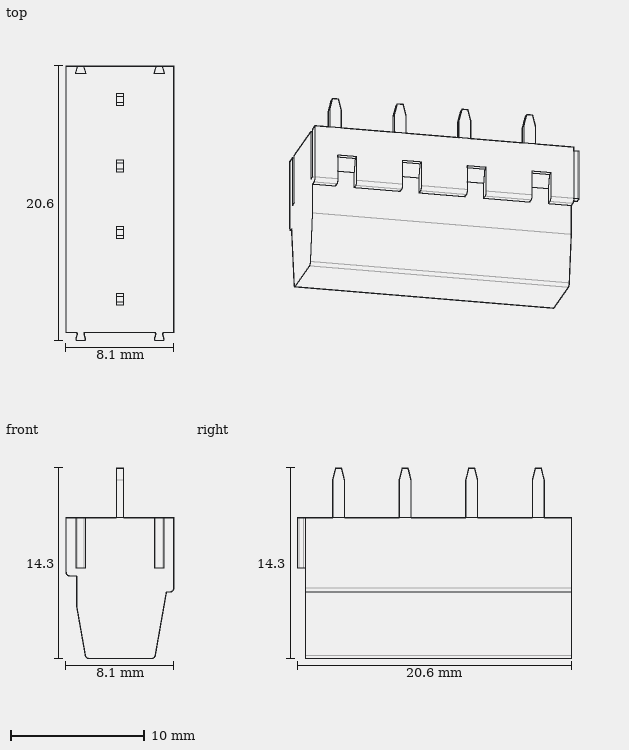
import cadquery as cq
import math

pole_count = 4
pitch = 5.0
body_width = 8.1
body_length = pole_count * pitch
body_height = 10.6
half_width = body_width / 2
half_length = body_length / 2

left_step_z = 6.2
left_step_depth = 0.8
left_taper_z = 3.9
right_step_z = 5.0
right_step_depth = 0.55
taper_angle = math.radians(10)
edge_radius = 0.3

pin_thickness = 0.55
pin_width = 0.9
pin_tip_width = 0.45
pin_tip_length = 0.9
overall_height = 14.31

notch_width = 1.45
notch_top_z = 8.4
notch_slope_height = 1.0
notch_slope_depth = 0.36

dovetail_offset = 2.95
dovetail_neck_width = 0.46
dovetail_wide_width = 0.8
rail_depth = 0.6
groove_depth = 0.56
dovetail_height = 3.8
rail_corner_radius = 0.1
rail_root_radius = 0.1

tolerance = 0.001

pole_positions = [(i - (pole_count - 1) / 2) * pitch for i in range(pole_count)]
wall_x = left_step_depth - half_width


def make_body():
    """Constant-section housing, extruded along Y."""
    right_wall_x = half_width - right_step_depth
    left_base_x = wall_x + left_taper_z * math.tan(taper_angle)
    right_base_x = right_wall_x - right_step_z * math.tan(taper_angle)
    profile = [
        (-half_width, body_height),
        (-half_width, left_step_z),
        (wall_x, left_step_z),
        (wall_x, left_taper_z),
        (left_base_x, 0),
        (right_base_x, 0),
        (right_wall_x, right_step_z),
        (half_width, right_step_z),
        (half_width, body_height),
    ]
    body = cq.Workplane("XZ").polyline(profile).close().extrude(half_length, both=True)
    bottom_edges = body.faces("<Z").edges("|Y")
    step_edges = body.faces("<X or >X").edges("|Y")
    step_edges = step_edges.filter(lambda edge: edge.Center().z < body_height - tolerance)
    return body.newObject(bottom_edges.vals() + step_edges.vals()).fillet(edge_radius)


def make_notch(y):
    """Cutter for one notch, reaching back to the lower wall, sloped at the top of its back."""
    profile = [
        (-half_width, left_step_z),
        (-half_width, notch_top_z),
        (wall_x - notch_slope_depth, notch_top_z),
        (wall_x, notch_top_z - notch_slope_height),
        (wall_x, left_step_z),
    ]
    notch = cq.Workplane("XZ").polyline(profile).close().extrude(notch_width / 2, both=True)
    return notch.translate((0, y, 0))


def make_pin(y):
    """Flat pin standing on the body, narrowed towards its tip."""
    shoulder_z = overall_height - pin_tip_length
    profile = [
        (-pin_width / 2, body_height),
        (pin_width / 2, body_height),
        (pin_width / 2, shoulder_z),
        (pin_tip_width / 2, overall_height),
        (-pin_tip_width / 2, overall_height),
        (-pin_width / 2, shoulder_z),
    ]
    pin = cq.Workplane("YZ").polyline(profile).close().extrude(pin_thickness / 2, both=True)
    return pin.translate((0, y, 0))


def make_dovetail(x, y, depth):
    """Vertical dovetail prism, neck at y and wide end towards -Y."""
    profile = [
        (x - dovetail_neck_width / 2, y),
        (x + dovetail_neck_width / 2, y),
        (x + dovetail_wide_width / 2, y - depth),
        (x - dovetail_wide_width / 2, y - depth),
    ]
    base = cq.Workplane("XY", origin=(0, 0, body_height - dovetail_height))
    return base.polyline(profile).close().extrude(dovetail_height)


def add_rail(body, x):
    """Join a rail to the -Y end and round its root corners."""
    rail = make_dovetail(x, -half_length, rail_depth)
    rail = rail.faces("<Y").edges("|Z").fillet(rail_corner_radius)
    joined = body.union(rail)
    root_edges = joined.edges("|Z").filter(
        lambda edge: abs(edge.Center().y + half_length) < tolerance
        and abs(abs(edge.Center().x - x) - dovetail_neck_width / 2) < tolerance
    )
    return joined.newObject(root_edges.vals()).fillet(rail_root_radius)


result = make_body()
for pole_y in pole_positions:
    result = result.cut(make_notch(pole_y)).union(make_pin(pole_y))
for dovetail_x in (-dovetail_offset, dovetail_offset):
    result = result.cut(make_dovetail(dovetail_x, half_length, groove_depth))
    result = add_rail(result, dovetail_x)